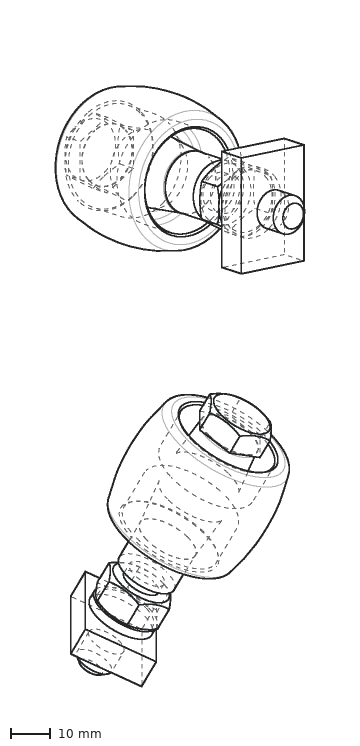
import cadquery as cq
import math

head_end = 6.5
roller_start = 7.4
roller_end = 39.4
shoulder_end = 51.4
nut_start = 54.3
nut_end = 62.8
washer_end = 65.2
plate_end = 73.2
total_length = 81.4

crown_radius = 19.98
crown_edge_radius = 18.0
roller_face_radius = 16.0
edge_length = 1.5
crown_middle = (roller_start + roller_end) / 2

mouth_radius = 14.1
bore_radius = 13.5
floor_fillet = 1.2
recess_depth = 12.7
hub_radius = 9.3
hub_fillet = 0.9

collar_radius = 8.1
collar_overhang = 0.7

shoulder_radius = 8.02
pin_radius = 10.0 / 2
tip_chamfer = 1.7
hex_across_flats = 17.0
hex_chamfer_radius = 8.0
hex_chamfer_angle = 30
washer_radius = 18.0 / 2
plate_width = 20.0
plate_height = 30.0


def cylinder(start, end, radius):
    """Solid cylinder on the X axis between two stations."""
    return cq.Workplane("YZ", origin=(start, 0, 0)).circle(radius).extrude(end - start)


def revolve_about_x(profile):
    """Closed half profile, with X along the axis and Y as radius, turned about X."""
    return profile.close().revolve(360, (0, 0, 0), (1, 0, 0))


def hexagon(start, end, chamfer_both_ends):
    """Hex prism with two corners on the Z axis and conically chamfered ends."""
    corner_radius = hex_across_flats / math.sqrt(3)
    chamfer_rise = corner_radius - hex_chamfer_radius
    chamfer_length = chamfer_rise * math.tan(math.radians(hex_chamfer_angle))
    prism = (
        cq.Workplane("YZ", origin=(start, 0, 0))
        .transformed(rotate=(0, 0, 90))
        .polygon(6, 2 * corner_radius)
        .extrude(end - start)
    )
    profile = (
        cq.Workplane("XY")
        .moveTo(start, 0)
        .lineTo(start, hex_chamfer_radius)
        .lineTo(start + chamfer_length, corner_radius)
    )
    if chamfer_both_ends:
        profile = profile.lineTo(end - chamfer_length, corner_radius).lineTo(end, hex_chamfer_radius)
    else:
        profile = profile.lineTo(end, corner_radius)
    return prism.intersect(revolve_about_x(profile.lineTo(end, 0)))


def crowned_body():
    """Barrel-shaped roller with rounded edges at both end faces."""
    edge_start = roller_start + edge_length
    edge_end = roller_end - edge_length
    edge_rise = crown_edge_radius - roller_face_radius
    round_length = edge_length * (1 - math.sqrt(0.5))
    round_radius = roller_face_radius + edge_rise * math.sqrt(0.5)
    profile = (
        cq.Workplane("XY")
        .moveTo(roller_start, 0)
        .lineTo(roller_start, roller_face_radius)
        .threePointArc((roller_start + round_length, round_radius), (edge_start, crown_edge_radius))
        .threePointArc((crown_middle, crown_radius), (edge_end, crown_edge_radius))
        .threePointArc((roller_end - round_length, round_radius), (roller_end, roller_face_radius))
        .lineTo(roller_end, 0)
    )
    return revolve_about_x(profile)


def recess():
    """Annular recess of the head-side roller face, with a tapered hub and filleted floor edges."""
    floor = roller_start + recess_depth
    mouth_chamfer = mouth_radius - bore_radius
    fillet_offset = 1 - math.sqrt(0.5)
    profile = (
        cq.Workplane("XY")
        .moveTo(roller_start, collar_radius)
        .lineTo(roller_start, mouth_radius)
        .lineTo(roller_start + mouth_chamfer, bore_radius)
        .lineTo(floor - floor_fillet, bore_radius)
        .threePointArc(
            (floor - floor_fillet * fillet_offset, bore_radius - floor_fillet * fillet_offset),
            (floor, bore_radius - floor_fillet),
        )
        .lineTo(floor, hub_radius + hub_fillet)
        .threePointArc(
            (floor - hub_fillet * fillet_offset, hub_radius + hub_fillet * fillet_offset),
            (floor - hub_fillet, hub_radius),
        )
    )
    return revolve_about_x(profile)


def roller():
    """Crowned body with the same recess in both ends."""
    near_recess = recess()
    far_recess = near_recess.mirror("YZ", (crown_middle, 0, 0))
    return crowned_body().cut(near_recess).cut(far_recess)


def clamp_plate():
    """Rectangular plate held by the pin."""
    thickness = plate_end - washer_end
    return cq.Workplane("YZ", origin=(washer_end, 0, 0)).rect(plate_width, plate_height).extrude(thickness)


pin = cylinder(shoulder_end, total_length, pin_radius).faces(">X").chamfer(tip_chamfer)

result = (
    roller()
    .union(cylinder(roller_start - collar_overhang, roller_end + collar_overhang, collar_radius))
    .union(cylinder(head_end, shoulder_end, shoulder_radius))
    .union(hexagon(0, head_end, chamfer_both_ends=False))
    .union(pin)
    .union(hexagon(nut_start, nut_end, chamfer_both_ends=True))
    .union(cylinder(nut_end, washer_end, washer_radius))
    .union(clamp_plate())
)